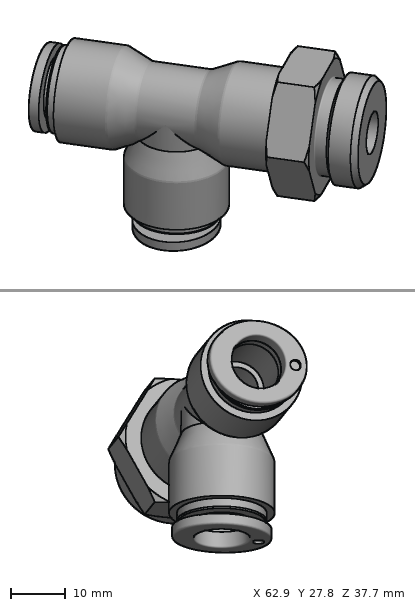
import cadquery as cq
import math

PORT_REACH = 25.65
OVERALL_LENGTH = 62.9
STEM_END = OVERALL_LENGTH - PORT_REACH

BARREL_DIAMETER = 19.4
NECK_DIAMETER = 15.0
RUN_NECK_LENGTH = 5.7
BRANCH_NECK_LENGTH = 5.55
BARREL_START = 10.7
CONE_BLEND_RADIUS = 0.95
PASSAGE_DIAMETER = 8.0
TUBE_BORE_DIAMETER = 10.1

COLLAR_DIAMETER = 16.5
COLLAR_LENGTH = 1.9
COLLAR_CHAMFER_LENGTH = 0.3
COLLAR_CHAMFER_DEPTH = 0.2

FLANGE_WIDTH = 18.4
FLANGE_HEIGHT = 16.05
FLANGE_THICKNESS = 2.0
FLANGE_ROUND = 0.4
RING_NECK_DIAMETER = 11.7
RING_NECK_LENGTH = 1.1
RING_BORE_DIAMETER = 10.2
MOUTH_ROUND = 0.3
DIMPLE_DIAMETER = 2.0
DIMPLE_DEPTH = 0.6
DIMPLE_OFFSET = 7.0

HEX_CORNERS = 27.75
HEX_START = 20.55
HEX_LENGTH = 8.2
HEX_CHAMFER_DIAMETER = 25.3
HEX_CHAMFER_ANGLE = 25.0
RELIEF_DIAMETER = 18.2
RELIEF_ROUND = 0.25
RELIEF_END = 31.1
THREAD_DIAMETER = 20.95
THREAD_START = 31.8
TIP_CHAMFER_LENGTH = 1.2
TIP_CHAMFER_DEPTH = 0.9

COLLAR_FACE = PORT_REACH - FLANGE_THICKNESS - RING_NECK_LENGTH
BARREL_FACE = COLLAR_FACE - COLLAR_LENGTH
HEX_END = HEX_START + HEX_LENGTH

RUN_TURN = 0
BRANCH_TURN = -90
PORT_TURNS = (RUN_TURN, BRANCH_TURN)

EDGE_SEARCH = 0.05


def rod(diameter, start, end):
    """Cylinder on the X axis between two X positions."""
    return cq.Workplane("YZ").workplane(offset=start).circle(diameter / 2).extrude(end - start)


def revolve_about_x(points):
    """Solid of revolution about the X axis from (x, radius) points."""
    return cq.Workplane("XY").polyline(points).close().revolve(360, (0, 0, 0), (1, 0, 0))


def turn_about_y(body, angle):
    return body.rotate((0, 0, 0), (0, 1, 0), angle)


def housing_arm(length, neck_length):
    """Neck, cone and barrel along -X from the axis crossing, the cone meeting the barrel in a blend."""
    neck = NECK_DIAMETER / 2
    barrel = BARREL_DIAMETER / 2
    arm = revolve_about_x([
        (0, 0),
        (0, neck),
        (-neck_length, neck),
        (-BARREL_START, barrel),
        (-length, barrel),
        (-length, 0),
    ])
    return blend_ring_edge(arm, -BARREL_START)


def blend_ring_edge(arm, x):
    """Round the circular edge of a housing arm that lies at one X position."""
    reach = BARREL_DIAMETER
    edge = cq.selectors.BoxSelector(
        (x - EDGE_SEARCH, -reach, -reach),
        (x + EDGE_SEARCH, reach, reach),
    )
    return arm.edges(edge).fillet(CONE_BLEND_RADIUS)


def make_housing():
    port_arm = blend_ring_edge(housing_arm(BARREL_FACE, RUN_NECK_LENGTH), -RUN_NECK_LENGTH)
    stem_arm = blend_ring_edge(housing_arm(HEX_START, RUN_NECK_LENGTH), -RUN_NECK_LENGTH).mirror("YZ")
    branch_arm = turn_about_y(housing_arm(BARREL_FACE, BRANCH_NECK_LENGTH), BRANCH_TURN)
    body = port_arm.union(stem_arm).union(branch_arm)

    tube_bore = rod(TUBE_BORE_DIAMETER, -BARREL_FACE, -BARREL_START)
    branch_passage = turn_about_y(rod(PASSAGE_DIAMETER, -BARREL_FACE, 0), BRANCH_TURN)
    body = body.cut(rod(PASSAGE_DIAMETER, -BARREL_FACE, HEX_START)).cut(branch_passage)
    for angle in PORT_TURNS:
        body = body.cut(turn_about_y(tube_bore, angle))
    return body


def make_collar():
    """Collar on the -X port, with a chamfered outer edge."""
    outer = COLLAR_DIAMETER / 2
    bore = TUBE_BORE_DIAMETER / 2
    return revolve_about_x([
        (-BARREL_FACE, bore),
        (-BARREL_FACE, outer),
        (-COLLAR_FACE + COLLAR_CHAMFER_LENGTH, outer),
        (-COLLAR_FACE, outer - COLLAR_CHAMFER_DEPTH),
        (-COLLAR_FACE, bore),
    ])


def make_release_ring():
    """Oval flange and round neck on the -X port, with a marking dimple on the -Y side."""
    flange = (
        cq.Workplane("YZ")
        .workplane(offset=-PORT_REACH)
        .ellipse(FLANGE_WIDTH / 2, FLANGE_HEIGHT / 2)
        .extrude(FLANGE_THICKNESS)
        .faces("<X")
        .edges()
        .fillet(FLANGE_ROUND)
    )
    ring = flange.union(rod(RING_NECK_DIAMETER, -PORT_REACH + FLANGE_THICKNESS, -COLLAR_FACE))
    ring = ring.cut(rod(RING_BORE_DIAMETER, -PORT_REACH, -COLLAR_FACE))
    ring = ring.faces("<X").edges("%CIRCLE").fillet(MOUTH_ROUND)
    dimple = rod(DIMPLE_DIAMETER, -PORT_REACH, -PORT_REACH + DIMPLE_DEPTH)
    return ring.cut(dimple.translate((0, -DIMPLE_OFFSET, 0)))


def make_hexagon():
    """Hexagon with flats facing +Z and -Z, its corners bevelled at both ends."""
    prism = cq.Workplane("YZ").workplane(offset=HEX_START).polygon(6, HEX_CORNERS).extrude(HEX_LENGTH)
    face_radius = HEX_CHAMFER_DIAMETER / 2
    corner_radius = HEX_CORNERS / 2
    bevel = (corner_radius - face_radius) * math.tan(math.radians(HEX_CHAMFER_ANGLE))
    envelope = revolve_about_x([
        (HEX_START, 0),
        (HEX_START, face_radius),
        (HEX_START + bevel, corner_radius),
        (HEX_END - bevel, corner_radius),
        (HEX_END, face_radius),
        (HEX_END, 0),
    ])
    return prism.intersect(envelope)


def make_stem():
    relief = RELIEF_DIAMETER / 2
    thread = THREAD_DIAMETER / 2
    spigot = (
        cq.Workplane("XY")
        .moveTo(HEX_END, 0)
        .lineTo(HEX_END, relief + RELIEF_ROUND)
        .radiusArc((HEX_END + RELIEF_ROUND, relief), -RELIEF_ROUND)
        .lineTo(RELIEF_END, relief)
        .lineTo(THREAD_START, thread)
        .lineTo(STEM_END - TIP_CHAMFER_LENGTH, thread)
        .lineTo(STEM_END, thread - TIP_CHAMFER_DEPTH)
        .lineTo(STEM_END, 0)
        .close()
        .revolve(360, (0, 0, 0), (1, 0, 0))
    )
    return make_hexagon().union(spigot).cut(rod(PASSAGE_DIAMETER, HEX_START, STEM_END))


housing = make_housing()
stem = make_stem()
collars = [turn_about_y(make_collar(), angle) for angle in PORT_TURNS]
release_rings = [turn_about_y(make_release_ring(), angle) for angle in PORT_TURNS]

result = cq.Compound.makeCompound([
    housing.val(),
    stem.val(),
    *[collar.val() for collar in collars],
    *[ring.val() for ring in release_rings],
])